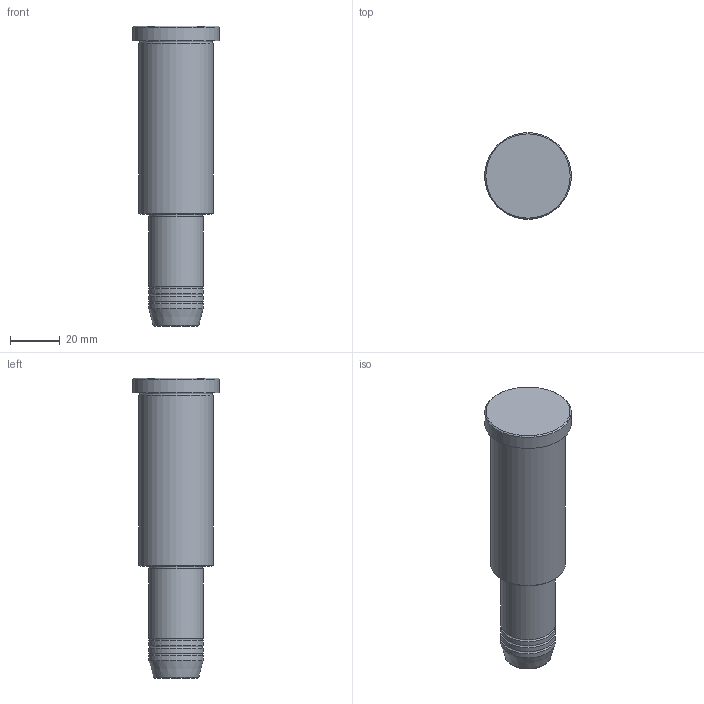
import cadquery as cq
import math

TOTAL_LENGTH = 121.0
HEAD_HEIGHT = 6.0
BODY_LENGTH = 70.0

HEAD_RADIUS = 35.0 / 2
BODY_RADIUS = 30.0 / 2
PILOT_RADIUS = 22.0 / 2

HEAD_CHAMFER = 0.5
BODY_CHAMFER = 0.5
TIP_FILLET = 0.5

NECK_WIDTH = 1.0
NECK_DEPTH = 0.5

TAPER_LENGTH = 7.0
TAPER_ANGLE = math.radians(15.0)

GROOVE_RADIUS = 0.5
RING_COUNT = 3
RING_PITCH = 3.0
FIRST_RING_HEIGHT = 9.5

HEAD_BOTTOM = TOTAL_LENGTH - HEAD_HEIGHT
BODY_BOTTOM = HEAD_BOTTOM - BODY_LENGTH
NECK_BOTTOM = BODY_BOTTOM - NECK_WIDTH
HEAD_GROOVE_HEIGHT = HEAD_BOTTOM - GROOVE_RADIUS
TIP_RADIUS = PILOT_RADIUS - TAPER_LENGTH * math.tan(TAPER_ANGLE)


def cylinder(radius, bottom, top):
    """Solid cylinder on the Z axis between two heights."""
    return cq.Workplane("XY").workplane(offset=bottom).circle(radius).extrude(top - bottom)


def groove_cutter(surface_radius, height):
    """Torus centred on a cylindrical surface, for a half-round groove."""
    return cq.Workplane(
        cq.Solid.makeTorus(surface_radius, GROOVE_RADIUS, cq.Vector(0, 0, height))
    )


def make_head():
    """Flat disc head with a chamfered upper rim."""
    head = cylinder(HEAD_RADIUS, HEAD_BOTTOM, TOTAL_LENGTH)
    return head.faces(">Z").chamfer(HEAD_CHAMFER)


def make_body():
    """Main cylinder, grooved under the head and chamfered at its lower end."""
    body = cylinder(BODY_RADIUS, BODY_BOTTOM, HEAD_BOTTOM)
    body = body.faces("<Z").chamfer(BODY_CHAMFER)
    return body.cut(groove_cutter(BODY_RADIUS, HEAD_GROOVE_HEIGHT))


def make_tip():
    """Tapered lead-in with a rounded end."""
    tip = cq.Workplane(cq.Solid.makeCone(TIP_RADIUS, PILOT_RADIUS, TAPER_LENGTH))
    return tip.faces("<Z").edges().fillet(TIP_FILLET)


def make_pilot():
    """Slim cylinder with a relief neck, ring grooves and the tapered tip."""
    pilot = cylinder(PILOT_RADIUS, TAPER_LENGTH, NECK_BOTTOM)
    for index in range(RING_COUNT):
        ring_height = FIRST_RING_HEIGHT + index * RING_PITCH
        pilot = pilot.cut(groove_cutter(PILOT_RADIUS, ring_height))
    neck = cylinder(PILOT_RADIUS - NECK_DEPTH, NECK_BOTTOM, BODY_BOTTOM)
    return pilot.union(neck).union(make_tip())


result = make_head().union(make_body()).union(make_pilot())